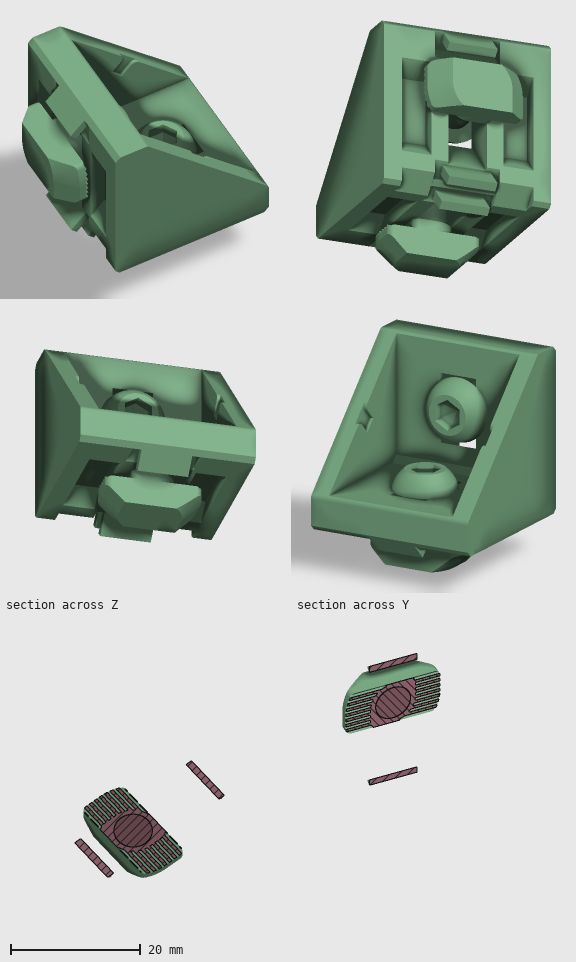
import cadquery as cq
import math


WIDTH = 28.0
LEG = 27.0
PLATE = 5.97
WALL = 3.0
SLOPE_SUM = 32.6
SLOPE_ROUND = 1.0
TIP_CHAMFER = 0.82
WALL_CORNER_CHAMFER = 0.7
CORE_CORNER_CHAMFER = 2.87
INNER_CHAMFER = 1.1
CAVITY_WIDTH = WIDTH - 2 * WALL

CLIP_WIDTH = 2.5
CLIP_ROUND = 1.0
CLIP_DEPTH = 3.3
CLIP_RECESS = 0.6

SCREW_POSITION = 16.0
SLOT_WIDTH = 6.45
SLOT_END = 21.48
SLOT_FLOOR_RISE = 4.25

POCKET_WIDTH = 4.98
POCKET_BOTTOM = 5.65
POCKET_TOP = 21.05
POCKET_DEPTH = 2.48

TAB_WIDTH = 8.1
TAB_THICKNESS = 1.98
NOTCH_WIDTH = 10.92
CORNER_TAB_RISE = 2.0
CORNER_TAB_TIP_SUM = -0.7
CORNER_NOTCH_SUM = 4.98
RIB_RISE = 0.7
RIB_END_SUM = 3.6
END_TAB_RISE = LEG - TIP_CHAMFER
END_TAB_TIP_SUM = 21.35
END_NOTCH_RISE = 21.95

SCREW_RADIUS = 3.0
HEAD_RADIUS = 5.25
HEAD_TOP_RADIUS = 3.27
HEAD_HEIGHT = 3.3
HEX_MOUTH_FLATS = 4.32
HEX_FLOOR_FLATS = 4.1
HEX_DEPTH = 1.65
HEX_POINT = 1.4

NUT_HEIGHT = 6.0
NUT_HALF_LENGTH = 8.0
NUT_HALF_WIDTH = 3.83
NUT_FACE_HALF_LENGTH = 4.98
NUT_ROUND = 1.0
NECK_HEIGHT = 1.5
NECK_BIG_ROUND = 4.03
TOOTH_PITCH = 1.0
TOOTH_DEPTH = TOOTH_PITCH / 2

MIRROR_NORMAL = (0, 1, -1)


def bar(points, width, center_x=0.0):
    """Prism along X with the given (Y, Z) outline."""
    prism = cq.Workplane("YZ").polyline(points).close().extrude(width / 2, both=True)
    return prism.translate((center_x, 0, 0))


def diagonal_bar(sum_a, sum_b, rise_a, rise_b, width):
    """Prism along X whose four sides are 45-degree planes."""
    corners = [(sum_a, rise_a), (sum_b, rise_a), (sum_b, rise_b), (sum_a, rise_b)]
    return bar([((s - r) / 2, (s + r) / 2) for s, r in corners], width)


def bracket_blank():
    slope_end = SLOPE_SUM - LEG
    outline = [
        (WALL_CORNER_CHAMFER, 0),
        (LEG - TIP_CHAMFER, 0),
        (LEG, TIP_CHAMFER),
        (LEG, slope_end),
        (slope_end, LEG),
        (TIP_CHAMFER, LEG),
        (0, LEG - TIP_CHAMFER),
        (0, WALL_CORNER_CHAMFER),
    ]
    blank = bar(outline, WIDTH)
    for y, z in [(LEG, slope_end), (slope_end, LEG)]:
        blank = blank.edges(cq.NearestToPointSelector((0, y, z))).fillet(SLOPE_ROUND)
    return blank


def cavity():
    outline = [
        (PLATE + INNER_CHAMFER, PLATE),
        (LEG, PLATE),
        (LEG, LEG),
        (PLATE, LEG),
        (PLATE, PLATE + INNER_CHAMFER),
    ]
    return bar(outline, CAVITY_WIDTH)


def clip_slot():
    """Slot square to the slope with rounded mouth edges, cut into both cavity walls."""
    half = CLIP_WIDTH / 2
    mouth = half + CLIP_ROUND
    bend = CLIP_ROUND * (1 - math.sqrt(0.5))
    slope_plane = cq.Plane(
        origin=(0, SLOPE_SUM / 2, SLOPE_SUM / 2), xDir=(0, 1, -1), normal=(1, 0, 0)
    )
    profile = (
        cq.Workplane(slope_plane)
        .moveTo(-mouth, 0)
        .threePointArc((-half - bend, -bend), (-half, -CLIP_ROUND))
        .lineTo(-half, -CLIP_DEPTH)
        .lineTo(half, -CLIP_DEPTH)
        .lineTo(half, -CLIP_ROUND)
        .threePointArc((half + bend, -bend), (mouth, 0))
        .close()
    )
    return profile.extrude(CAVITY_WIDTH / 2 + CLIP_RECESS, both=True)


def screw_slot():
    outline = [
        (0, SLOT_FLOOR_RISE),
        (PLATE, PLATE + SLOT_FLOOR_RISE),
        (PLATE, SLOT_END),
        (0, SLOT_END),
    ]
    return bar(outline, SLOT_WIDTH)


def side_pockets():
    outline = [
        (0, POCKET_BOTTOM),
        (POCKET_DEPTH, POCKET_BOTTOM + POCKET_DEPTH),
        (POCKET_DEPTH, POCKET_TOP - POCKET_DEPTH),
        (0, POCKET_TOP),
    ]
    center_x = (CAVITY_WIDTH - POCKET_WIDTH) / 2
    return bar(outline, POCKET_WIDTH, center_x).union(bar(outline, POCKET_WIDTH, -center_x))


def end_notch():
    outline = [
        (0, END_NOTCH_RISE),
        ((END_TAB_RISE - END_NOTCH_RISE) / 2, (END_TAB_RISE + END_NOTCH_RISE) / 2),
        (0, END_TAB_RISE),
    ]
    return bar(outline, NOTCH_WIDTH)


def corner_notch():
    """Square corner cut that leaves a short rib along the plane Y = Z."""
    notch = diagonal_bar(0, CORNER_NOTCH_SUM, -CORNER_NOTCH_SUM, CORNER_NOTCH_SUM, NOTCH_WIDTH)
    rib = diagonal_bar(RIB_END_SUM, CORNER_NOTCH_SUM, -RIB_RISE, RIB_RISE, NOTCH_WIDTH)
    return notch.cut(rib)


def tabs():
    """Corner tabs and end tabs, all leaning outwards parallel to the plane Y = Z."""
    corner_tab = diagonal_bar(
        CORNER_TAB_TIP_SUM, CORNER_NOTCH_SUM, CORNER_TAB_RISE, CORNER_TAB_RISE + TAB_THICKNESS, TAB_WIDTH
    )
    end_tab = diagonal_bar(
        END_TAB_TIP_SUM, END_TAB_RISE, END_TAB_RISE - TAB_THICKNESS, END_TAB_RISE, TAB_WIDTH
    )
    return [corner_tab, end_tab]


def make_bracket():
    core_chamfer = bar([(0, 0), (CORE_CORNER_CHAMFER, 0), (0, CORE_CORNER_CHAMFER)], CAVITY_WIDTH)
    body = bracket_blank().cut(cavity()).cut(clip_slot()).cut(core_chamfer).cut(corner_notch())
    for feature in (screw_slot(), side_pockets(), end_notch()):
        body = body.cut(feature).cut(feature.mirror(MIRROR_NORMAL))
    for tab in tabs():
        body = body.union(tab).union(tab.mirror(MIRROR_NORMAL))
    return body




def make_screw():
    head_top = PLATE + HEAD_HEIGHT
    dome_center = PLATE + (HEAD_TOP_RADIUS**2 + HEAD_HEIGHT**2 - HEAD_RADIUS**2) / (2 * HEAD_HEIGHT)
    dome_radius = math.hypot(HEAD_RADIUS, dome_center - PLATE)
    dome_middle_y = PLATE + HEAD_HEIGHT / 2
    dome_middle_x = math.sqrt(dome_radius**2 - (dome_middle_y - dome_center) ** 2)
    screw = (
        cq.Workplane("XY")
        .moveTo(0, -NUT_HEIGHT)
        .lineTo(SCREW_RADIUS, -NUT_HEIGHT)
        .lineTo(SCREW_RADIUS, PLATE)
        .lineTo(HEAD_RADIUS, PLATE)
        .threePointArc((dome_middle_x, dome_middle_y), (HEAD_TOP_RADIUS, head_top))
        .lineTo(0, head_top)
        .close()
        .revolve(360, (0, 0, 0), (0, 1, 0))
    )
    return screw.cut(hex_socket(head_top))


def hexagon(flats, y):
    """Corners of a hexagon square to Y, with two corners towards +Z and -Z."""
    corner_radius = flats / math.sqrt(3)
    angles = [math.radians(60 * i) for i in range(6)]
    return [cq.Vector(corner_radius * math.sin(a), y, corner_radius * math.cos(a)) for a in angles]


def hex_socket(head_top):
    """Tapered hexagonal socket that ends in a six-sided point."""
    floor_y = head_top - HEX_DEPTH
    mouth = hexagon(HEX_MOUTH_FLATS, head_top)
    floor = hexagon(HEX_FLOOR_FLATS, floor_y)
    tip = cq.Vector(0, floor_y - HEX_POINT, 0)
    loops = [mouth]
    for i in range(6):
        loops.append([mouth[i - 1], mouth[i], floor[i], floor[i - 1]])
        loops.append([floor[i - 1], floor[i], tip])
    faces = [cq.Face.makeFromWires(cq.Wire.makePolygon(loop, close=True)) for loop in loops]
    return cq.Workplane(cq.Solid.makeSolid(cq.Shell.makeShell(faces)))


def nut_outline():
    """Hammer-shaped plate: a rectangle with two opposite corners cut by its turning circle."""
    length, half = NUT_HALF_LENGTH, NUT_HALF_WIDTH
    arc_angle = math.asin(half / length)
    arc_end = length * math.cos(arc_angle)
    middle_x = length * math.cos(arc_angle / 2)
    middle_z = length * math.sin(arc_angle / 2)
    return (
        cq.Workplane("XZ", origin=(0, -NECK_HEIGHT, 0))
        .moveTo(-length, 0)
        .lineTo(-length, half)
        .lineTo(arc_end, half)
        .threePointArc((middle_x, middle_z), (length, 0))
        .lineTo(length, -half)
        .lineTo(-arc_end, -half)
        .threePointArc((-middle_x, -middle_z), (-length, 0))
        .close()
        .extrude(NUT_HEIGHT - NECK_HEIGHT)
        .edges("|Y")
        .edges(">Z or <Z")
        .fillet(NUT_ROUND)
    )


def nut_bevel():
    """Bevelled envelope: flat at the square corners, conical at the two cut corners."""
    taper_start = NUT_HALF_LENGTH - NUT_FACE_HALF_LENGTH - NUT_HEIGHT
    profile = [
        (0, 0),
        (NUT_HALF_LENGTH, 0),
        (NUT_HALF_LENGTH, taper_start),
        (NUT_FACE_HALF_LENGTH, -NUT_HEIGHT),
        (0, -NUT_HEIGHT),
    ]
    cone = cq.Workplane("XY").polyline(profile).close().revolve(360, (0, 0, 0), (0, 1, 0))
    flat = cq.Workplane("XY").polyline(profile).close().extrude(-NUT_HALF_WIDTH)
    return cone.union(flat).union(flat.rotate((0, 0, 0), (0, 1, 0), 180))


def nut_teeth():
    """V grooves along X in the clamping face of the nut."""
    face = -NECK_HEIGHT
    count = math.ceil(NUT_HALF_WIDTH / TOOTH_PITCH)
    grooves = cq.Workplane("YZ")
    for i in range(-count, count):
        z = i * TOOTH_PITCH
        groove = [(face, z), (face - TOOTH_DEPTH, z + TOOTH_PITCH / 2), (face, z + TOOTH_PITCH)]
        grooves = grooves.add(bar(groove, 2 * NUT_HALF_LENGTH))
    return grooves.combine()


def nut_neck():
    size = 2 * NUT_HALF_WIDTH
    neck = cq.Workplane("XZ").rect(size, size).extrude(NECK_HEIGHT + TOOTH_DEPTH)
    middle = -(NECK_HEIGHT + TOOTH_DEPTH) / 2
    for corner in (NUT_HALF_WIDTH, -NUT_HALF_WIDTH):
        big = cq.NearestToPointSelector((corner, middle, corner))
        small = cq.NearestToPointSelector((corner, middle, -corner))
        neck = neck.edges(big).fillet(NECK_BIG_ROUND).edges(small).fillet(NUT_ROUND)
    return neck


def make_nut():
    flange = nut_outline().intersect(nut_bevel()).cut(nut_teeth())
    bore = cq.Workplane("XZ").circle(SCREW_RADIUS).extrude(NUT_HEIGHT)
    return flange.union(nut_neck()).cut(bore)


def place(shape, turn):
    """Turn a screw or nut about X (0 for the front plate, 90 for the bottom plate) and seat it."""
    seat = (0, 0, SCREW_POSITION) if turn == 0 else (0, SCREW_POSITION, 0)
    return shape.rotate((0, 0, 0), (1, 0, 0), turn).translate(seat)


PLATE_TURNS = (0, 90)

bracket = make_bracket().solids()
screws = [place(make_screw(), turn).solids() for turn in PLATE_TURNS]
nuts = [place(make_nut(), turn).solids() for turn in PLATE_TURNS]

result = cq.Compound.makeCompound([body.val() for body in [bracket, *screws, *nuts]])